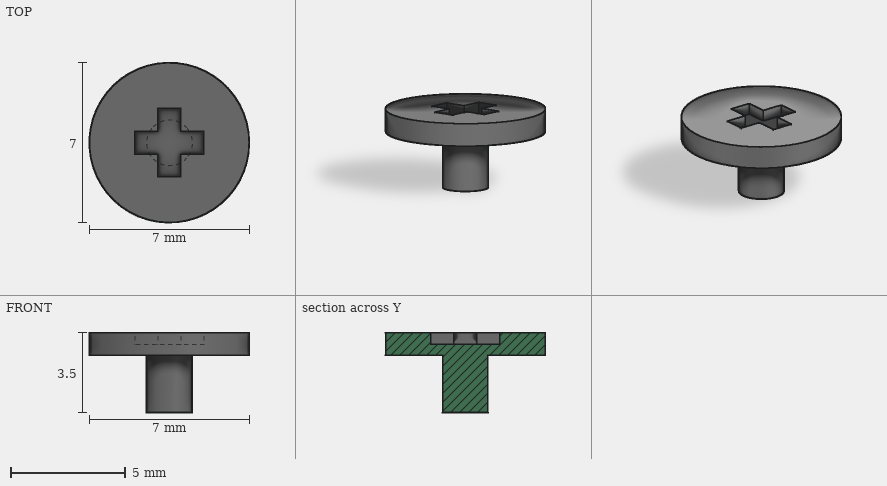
import cadquery as cq

head_diameter = 7.0
total_height = 3.5
head_thickness = head_diameter / 7

shank_diameter = 2 * head_thickness
shank_length = total_height - head_thickness
slot_width = head_thickness
slot_length = 3 * slot_width
recess_depth = head_thickness / 2

shank = cq.Workplane("XY").circle(shank_diameter / 2).extrude(shank_length)
head = (
    cq.Workplane("XY")
    .workplane(offset=shank_length)
    .circle(head_diameter / 2)
    .extrude(head_thickness)
)

recess_plane = cq.Workplane("XY").workplane(offset=total_height)
slot_along_x = recess_plane.rect(slot_length, slot_width).extrude(-recess_depth)
slot_along_y = recess_plane.rect(slot_width, slot_length).extrude(-recess_depth)
cross_recess = slot_along_x.union(slot_along_y)

result = shank.union(head).cut(cross_recess)